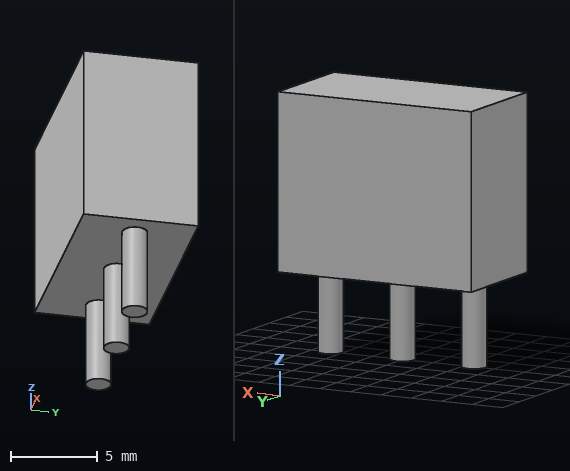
import cadquery as cq

body_length = 12.7
body_width = 6.8
overall_height = 15.7

pin_diameter = 1.48
pin_length = 5.1
pin_pitch = 4.7
pin_count = 3

body_height = overall_height - pin_length


def make_housing():
    """Plain rectangular block standing on the plane Z = 0."""
    return cq.Workplane("XY").box(body_length, body_width, body_height, centered=(True, True, False))


def make_pin(x):
    """Round pin hanging from the underside of the housing."""
    return cq.Workplane("XY").center(x, 0).circle(pin_diameter / 2).extrude(-pin_length)


housing = make_housing()

pins = []
for index in range(pin_count):
    pin_x = (index - (pin_count - 1) / 2) * pin_pitch
    pins.append(make_pin(pin_x))

result = cq.Compound.makeCompound([housing.val(), *[pin.val() for pin in pins]])